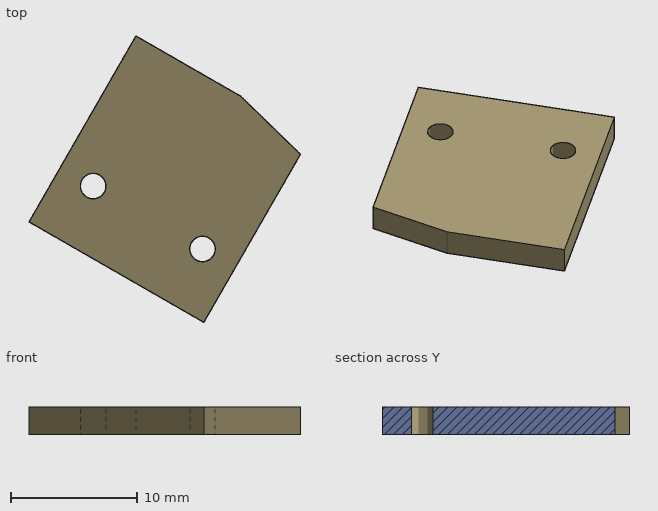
import cadquery as cq
import math

width = 15.99
right_height = 15.37
top_edge_length = 9.58
thickness = 2.2
turn_angle = -29.9
overall_length_y = 22.7

turn = math.radians(abs(turn_angle))
left_height = (overall_length_y - width * math.sin(turn)) / math.cos(turn)

hole_diameter = 2.0
hole_spacing = 10.0
hole_height = 5.0
first_hole_x = (width - hole_spacing) / 2
hole_centres = [
    (first_hole_x, hole_height),
    (first_hole_x + hole_spacing, hole_height),
]

outline = [
    (0, 0),
    (width, 0),
    (width, right_height),
    (top_edge_length, left_height),
    (0, left_height),
]

plate = cq.Workplane("XY").polyline(outline).close().extrude(thickness)
holes = (
    cq.Workplane("XY")
    .pushPoints(hole_centres)
    .circle(hole_diameter / 2)
    .extrude(thickness)
)

result = plate.cut(holes).rotate((0, 0, 0), (0, 0, 1), turn_angle)